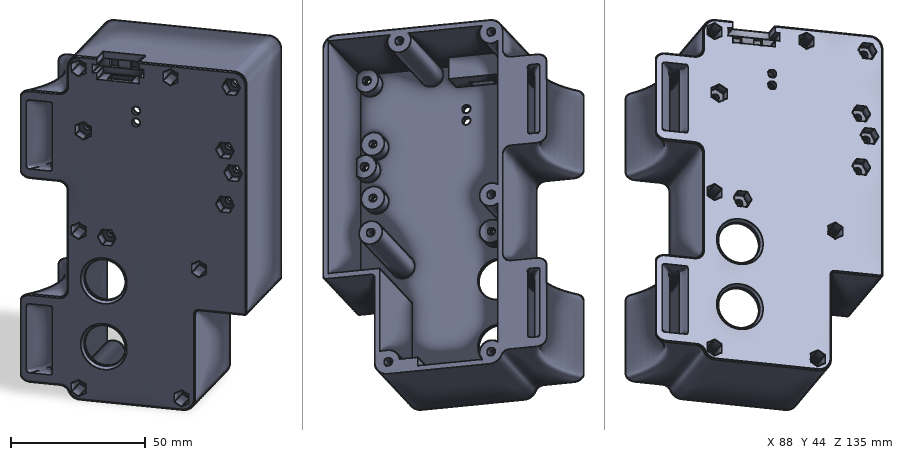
import cadquery as cq
import math

depth = 44.0
height = 135.0
body_width = 69.75
ear_reach = 18.57
step_x = 49.8
step_z = 39.7
corner_radius = 5.0
step_outer_radius = 1.0
step_inner_radius = 1.5
edge_chamfer = 0.5

wall = 2.0
plate_thickness = 2.5

ear_height = 34.7
ear_bottoms = (5.0, 85.0)
ear_root_radius = 3.3
ear_edge_radius = 3.0
grip_radius = 34.0
grip_axis_y = 22.9
grip_axis_x = -ear_reach - math.sqrt(grip_radius**2 - grip_axis_y**2)

channel_wall = 2.1
channel_height = 27.1
mouth_right_x = -5.8
mouth_straight_depth = 2.0
channel_thickness = 3.9
mouth_ridge_x = -7.4
channel_end_radius = 1.0

window_diameter = 16.0
window_rim_diameter = 18.0
rim_angle = 45
window_x = 14.3
window_heights = (22.0, 47.8)

post_diameter = 9.0
screw_diameter = 3.2
screw_nut_diameter = 6.5
screw_nut_depth = 10.0
screw_places = ((4.5, 130.3), (40.2, 130.3), (4.5, 66.4), (51.3, 56.1), (4.5, 4.7), (44.5, 4.7))

board_nut_diameter = 7.0
board_nut_depth = 5.0
small_screw_diameter = 2.8
board_boss_diameter = 9.0
board_boss_end_y = 8.0
upright_nut_place = (6.3, 105.9)
side_nut_places = ((61.4, 103.7), (61.4, 82.5), (15.4, 64.9))
side_nut_wide_screw_places = ((63.8, 128.8), (64.6, 95.1))

upright_turn = 30
sideways_turn = 0

light_hole_diameter = 3.2
light_hole_places = ((26.8, 115.8), (26.8, 111.2))

recess_left_x = 11.6
recess_width = 16.4
recess_height = 8.4
recess_depth = 8.0
groove_width = 20.0
groove_height = 3.2
groove_cover = 2.7
groove_top_z = height - groove_cover
groove_step = 0.3
groove_depth = recess_depth + groove_step
slider_width = 4.8
slider_slot_width = 11.4
slider_slot_depth = 2.0
contact_slot_width = 9.3
contact_slot_depth = 4.3
contact_slot_front_y = 2.3
switch_block_wall = 2.5

raised_floor_x = 33.0
raised_floor_z = 5.3


def prism(left, right, front, back, bottom, top):
    """Axis-aligned box from its six bounding coordinates."""
    box = cq.Workplane("XY").box(right - left, back - front, top - bottom, centered=False)
    return box.translate((left, front, bottom))


def front_plane(y):
    """Sketch plane facing the front, with local axes X and Z; negative lengths extrude backwards."""
    return cq.Workplane("XZ", origin=(0, y, 0))


def cylinder(place, diameter, front, back):
    """Round bar along Y."""
    return front_plane(front).center(*place).circle(diameter / 2).extrude(front - back)


def hexagon(place, diameter, front, back, turn):
    """Hexagonal bar along Y, turned about its own axis by an angle in degrees."""
    bar = front_plane(front).polygon(6, diameter).extrude(front - back)
    bar = bar.rotate((0, 0, 0), (0, 1, 0), turn)
    return bar.translate((place[0], 0, place[1]))


def body_outline(inset, y):
    """L-shaped outline of the body, moved inwards by the inset."""
    return (
        front_plane(y)
        .moveTo(inset, inset)
        .lineTo(step_x - inset, inset)
        .lineTo(step_x - inset, step_z + inset)
        .lineTo(body_width - inset, step_z + inset)
        .lineTo(body_width - inset, height - inset)
        .lineTo(inset, height - inset)
        .close()
    )


def make_body():
    body = body_outline(0, 0).extrude(-depth)
    for x, z, radius in (
        (0, height, corner_radius),
        (body_width, height, corner_radius),
        (0, 0, corner_radius),
        (step_x, 0, corner_radius),
        (step_x, step_z, step_inner_radius),
        (body_width, step_z, step_outer_radius),
    ):
        corner = cq.selectors.NearestToPointSelector((x, depth / 2, z))
        body = body.edges(corner).fillet(radius)
    return body


def make_ear(bottom):
    """Ear with a concave grip, rounded grip edges and filleted roots."""
    top = bottom + ear_height
    ear = prism(-ear_reach, corner_radius, 0, depth, bottom, top)
    grip_axis = cq.Workplane("XY", origin=(grip_axis_x, grip_axis_y, bottom))
    grip = grip_axis.circle(grip_radius).extrude(ear_height)
    ear = ear.cut(grip)
    ear = ear.faces("<X").edges("<Z or >Z").fillet(ear_edge_radius)
    ear = ear.union(make_root(top, 1))
    return ear.union(make_root(bottom, -1))


def make_root(z, side):
    """Concave fillet strip between the body and the ear face at height z.

    Where the strip falls within the lower body corner, it is tangent to the corner rounding.
    """
    center_z = z + side * ear_root_radius
    if center_z < corner_radius:
        spread = math.sqrt((corner_radius + ear_root_radius) ** 2 - (corner_radius - center_z) ** 2)
        center_x = corner_radius - spread
        share = corner_radius / (corner_radius + ear_root_radius)
        body_z = corner_radius - (corner_radius - center_z) * share
    else:
        center_x = -ear_root_radius
        body_z = center_z
    strip = (
        front_plane(0)
        .moveTo(center_x, z)
        .lineTo(corner_radius, z)
        .lineTo(corner_radius, body_z)
        .lineTo(center_x, body_z)
        .close()
        .extrude(-depth)
    )
    return strip.cut(cylinder((center_x, center_z), 2 * ear_root_radius, 0, depth))


def make_strap_channel(bottom):
    """Curved channel behind the grip, open at front and back, with a widened front mouth."""
    inner_radius = grip_radius + channel_wall
    outer_radius = inner_radius + channel_thickness
    start_z = bottom + (ear_height - channel_height) / 2

    def arc_x(radius, y):
        return grip_axis_x + math.sqrt(radius**2 - (y - grip_axis_y) ** 2)

    ridge_y = grip_axis_y - math.sqrt(outer_radius**2 - (mouth_ridge_x - grip_axis_x) ** 2)
    channel = (
        cq.Workplane("XY", origin=(0, 0, start_z))
        .moveTo(arc_x(inner_radius, 0), 0)
        .lineTo(mouth_right_x, 0)
        .lineTo(mouth_right_x, mouth_straight_depth)
        .tangentArcPoint((mouth_ridge_x, ridge_y), relative=False)
        .threePointArc((grip_axis_x + outer_radius, grip_axis_y), (arc_x(outer_radius, depth), depth))
        .lineTo(arc_x(inner_radius, depth), depth)
        .threePointArc((grip_axis_x + inner_radius, grip_axis_y), (arc_x(inner_radius, 0), 0))
        .close()
        .extrude(channel_height)
    )
    end_edges = channel.faces("|Z").edges("not(<Y or >Y)")
    return end_edges.fillet(channel_end_radius)


def make_cavity():
    """Open-backed hollow, less everything that stands inside it."""
    cavity = body_outline(wall, plate_thickness).extrude(plate_thickness - depth)
    for place in screw_places:
        cavity = cavity.cut(cylinder(place, post_diameter, 0, depth))
    for place in (upright_nut_place,) + side_nut_places + side_nut_wide_screw_places:
        cavity = cavity.cut(cylinder(place, board_boss_diameter, 0, board_boss_end_y))
    foot_x, foot_z = screw_places[-1]
    cavity = cavity.cut(prism(foot_x, step_x, 0, depth, 0, foot_z + post_diameter / 2))
    cavity = cavity.cut(prism(raised_floor_x, step_x, 0, depth, 0, raised_floor_z))
    switch_block = prism(
        recess_left_x - switch_block_wall,
        recess_left_x + recess_width + switch_block_wall,
        0,
        groove_depth + slider_slot_depth + switch_block_wall,
        height - recess_height - wall,
        height,
    )
    return cavity.cut(switch_block)


def cut_windows(part):
    rim_width = (window_rim_diameter - window_diameter) / 2
    rim_depth = rim_width / math.tan(math.radians(rim_angle))
    for z in window_heights:
        part = part.cut(cylinder((window_x, z), window_diameter, 0, plate_thickness))
        rim = front_plane(0).center(window_x, z).circle(window_rim_diameter / 2)
        sink = rim.extrude(-rim_depth, taper=rim_angle)
        part = part.cut(sink)
    return part


def cut_fasteners(part):
    for place in screw_places:
        part = part.cut(cylinder(place, screw_diameter, 0, depth))
        part = part.cut(hexagon(place, screw_nut_diameter, 0, screw_nut_depth, upright_turn))
    boards = [(upright_nut_place, small_screw_diameter, upright_turn)]
    boards += [(place, small_screw_diameter, sideways_turn) for place in side_nut_places]
    boards += [(place, screw_diameter, sideways_turn) for place in side_nut_wide_screw_places]
    for place, diameter, turn in boards:
        part = part.cut(cylinder(place, diameter, 0, board_boss_end_y))
        part = part.cut(hexagon(place, board_nut_diameter, 0, board_nut_depth, turn))
    for place in light_hole_places:
        part = part.cut(cylinder(place, light_hole_diameter, 0, plate_thickness))
    return part


def cut_switch_recess(part):
    middle_x = recess_left_x + recess_width / 2
    recess_floor_z = height - recess_height
    groove_bottom_z = groove_top_z - groove_height
    slot_back_y = groove_depth + slider_slot_depth

    def centered_prism(width, front, back, bottom, top):
        return prism(middle_x - width / 2, middle_x + width / 2, front, back, bottom, top)

    recess = centered_prism(recess_width, 0, recess_depth, recess_floor_z, height)
    groove = centered_prism(groove_width, 0, groove_depth, groove_bottom_z, groove_top_z)
    slider_slot = centered_prism(slider_slot_width, groove_depth, slot_back_y, groove_bottom_z, groove_top_z)
    slider = centered_prism(slider_width, groove_depth, slot_back_y, groove_bottom_z, groove_top_z)
    contacts = centered_prism(
        contact_slot_width,
        contact_slot_front_y,
        contact_slot_front_y + contact_slot_depth,
        recess_floor_z - wall,
        recess_floor_z,
    )
    return part.cut(recess).cut(groove).cut(slider_slot.cut(slider)).cut(contacts)


part = make_body()
for bottom in ear_bottoms:
    part = part.union(make_ear(bottom))
part = part.faces("<Y").chamfer(edge_chamfer)
part = part.cut(make_cavity())
for bottom in ear_bottoms:
    part = part.cut(make_strap_channel(bottom))
part = cut_windows(part)
part = cut_fasteners(part)
part = cut_switch_recess(part)
result = part